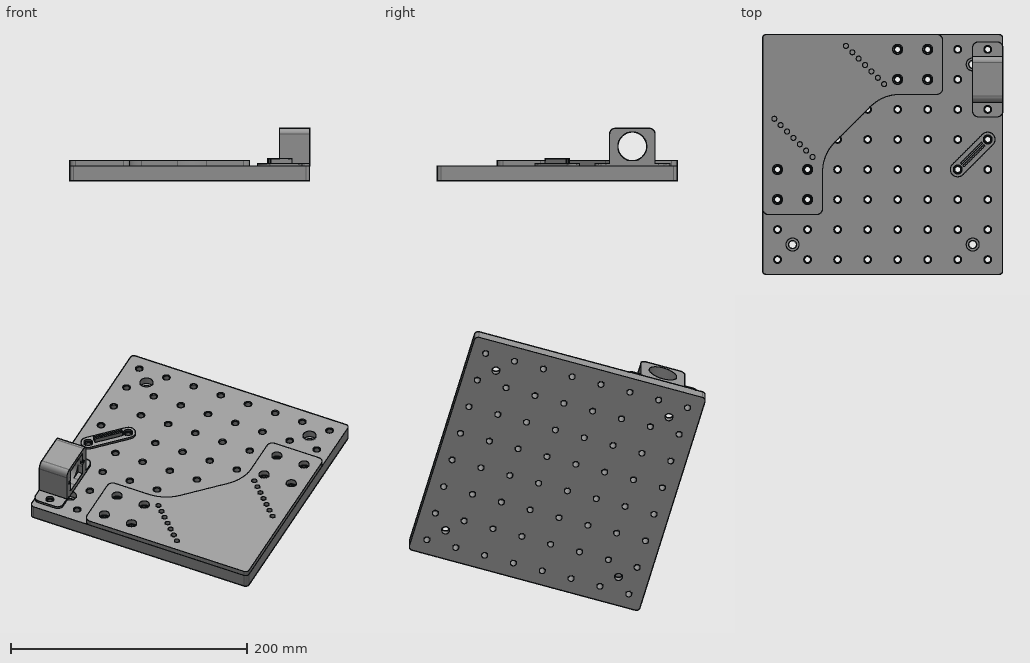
import cadquery as cq
import math

plate_side = 203.3
plate_thickness = 12.6
plate_corner_radius = 3.3
grid_count = 8
pitch = plate_side / grid_count
first_hole = pitch / 2
grid_hole_diameter = 5.0
countersink_diameter = 6.5
countersink_angle = 90
mount_hole_diameter = 6.5
counterbore_diameter = 11.0
counterbore_depth = 6.5

cover_thickness = 4.7
cover_side = 6 * pitch
cover_arm_width = 2 * pitch
cover_corner_radius = 5.0
cover_bend_radius = 34.5
cover_hole_diameter = 8.5
pin_hole_diameter = 4.3
pin_holes_per_row = 7
pin_row_run = 32.4
low_pin_row_start = (10.0, 131.9)
high_pin_row_start = (70.6, 193.5)

sheet_thickness = 2.0

strip_width = 12.5
strip_hole_diameter = 7.5
rail_length = 25.0
rail_width = 1.5
rail_gap = 1.5
rail_height = 4.0
strip_angle = 45

overall_height = 44.5
overall_length = 203.5
foot_length = 63.5
foot_corner_radius = 5.0
foot_hole_diameter = 6.5
block_length = 38.7
block_edge_radius = 5.0
bore_diameter = 24.2
bore_height = 29.0
pocket_side = 23.2
pocket_depth = 4.0
side_hole_diameter = 2.0
side_hole_offset = 14.5
side_hole_depth = 4.0
side_groove_depth = 2.0



def grid_point(column, row):
    """Centre of a grid hole, counted from 0 at the lower left."""
    return (first_hole + column * pitch, first_hole + row * pitch)


def make_plate():
    plate = cq.Workplane("XY").rect(plate_side, plate_side).extrude(plate_thickness)
    plate = plate.edges("|Z").fillet(plate_corner_radius)
    plate = plate.translate((plate_side / 2, plate_side / 2, 0))
    grid = [grid_point(column, row) for column in range(grid_count) for row in range(grid_count)]
    mounts = [(x, y) for x in (pitch, plate_side - pitch) for y in (pitch, plate_side - pitch)]
    top = cq.Workplane("XY", origin=(0, 0, plate_thickness))
    plate = (
        plate.copyWorkplane(top)
        .pushPoints(grid)
        .cskHole(grid_hole_diameter, countersink_diameter, countersink_angle)
    )
    return (
        plate.copyWorkplane(top)
        .pushPoints(mounts)
        .cboreHole(mount_hole_diameter, counterbore_diameter, counterbore_depth)
    )


def rounded_cover():
    """Cover with its bends, free tips and shared plate corner rounded."""
    top_left = (0, plate_side)
    bottom = plate_side - cover_side
    inner_y = plate_side - cover_arm_width
    bends = [(cover_arm_width, inner_y - cover_arm_width), (2 * cover_arm_width, inner_y)]
    tips = [(0, bottom), (cover_arm_width, bottom), (cover_side, inner_y), (cover_side, plate_side)]
    cover = (
        cq.Workplane("XY", origin=(0, 0, plate_thickness))
        .polyline([tips[0], tips[1], bends[0], bends[1], tips[2], tips[3], top_left])
        .close()
        .extrude(cover_thickness)
    )
    middle = plate_thickness + cover_thickness / 2
    for points, radius in (
        (bends, cover_bend_radius),
        (tips, cover_corner_radius),
        ([top_left], plate_corner_radius),
    ):
        for x, y in points:
            nearest = cq.selectors.NearestToPointSelector((x, y, middle))
            cover = cover.edges("|Z").edges(nearest).fillet(radius)
    return cover


def make_cover():
    low_arm = [grid_point(column, row) for column in (0, 1) for row in (2, 3)]
    high_arm = [grid_point(column, row) for column in (4, 5) for row in (6, 7)]
    step = pin_row_run / (pin_holes_per_row - 1)
    pins = [
        (x + i * step, y - i * step)
        for x, y in (low_pin_row_start, high_pin_row_start)
        for i in range(pin_holes_per_row)
    ]
    top = cq.Workplane("XY", origin=(0, 0, plate_thickness + cover_thickness))
    cover = rounded_cover().copyWorkplane(top).pushPoints(low_arm + high_arm).hole(cover_hole_diameter)
    return cover.copyWorkplane(top).pushPoints(pins).hole(pin_hole_diameter)


def make_strip():
    hole_spacing = math.hypot(pitch, pitch)
    start_x, start_y = grid_point(6, 3)
    strip = cq.Workplane("XY").slot2D(hole_spacing + strip_width, strip_width).extrude(sheet_thickness)
    strip = (
        strip.faces(">Z")
        .workplane()
        .pushPoints([(-hole_spacing / 2, 0), (hole_spacing / 2, 0)])
        .hole(strip_hole_diameter)
    )
    rail_offset = (rail_gap + rail_width) / 2
    rails = (
        cq.Workplane("XY")
        .pushPoints([(0, -rail_offset), (0, rail_offset)])
        .rect(rail_length, rail_width)
        .extrude(sheet_thickness + rail_height)
    )
    strip = strip.union(rails).rotate((0, 0, 0), (0, 0, 1), strip_angle)
    return strip.translate((start_x + pitch / 2, start_y + pitch / 2, plate_thickness))


def make_bracket():
    centre_x, lower_y = grid_point(7, 5)
    centre_y = lower_y + pitch
    bracket_width = 2 * (overall_length - centre_x)
    front_x = centre_x - bracket_width / 2
    foot = (
        cq.Workplane("XY", origin=(centre_x, centre_y, plate_thickness))
        .rect(bracket_width, foot_length)
        .extrude(sheet_thickness)
        .edges("|Z")
        .fillet(foot_corner_radius)
    )
    block = (
        cq.Workplane("XY", origin=(centre_x, centre_y, plate_thickness))
        .rect(bracket_width, block_length)
        .extrude(overall_height - plate_thickness)
        .edges("|X and >Z")
        .fillet(block_edge_radius)
    )
    bracket = foot.union(block)
    foot_top = cq.Workplane("XY", origin=(centre_x, centre_y, plate_thickness + sheet_thickness))
    bracket = (
        bracket.copyWorkplane(foot_top)
        .pushPoints([(0, -pitch), (0, pitch)])
        .hole(foot_hole_diameter, sheet_thickness)
    )
    front = cq.Workplane("YZ", origin=(front_x, centre_y, bore_height))
    bore = front.circle(bore_diameter / 2).extrude(bracket_width)
    pocket = front.rect(pocket_side, pocket_side).extrude(pocket_depth)
    holes = (
        front.pushPoints([(-side_hole_offset, 0), (side_hole_offset, 0)])
        .circle(side_hole_diameter / 2)
        .extrude(side_hole_depth)
    )
    groove = front.rect(2 * side_hole_offset, side_hole_diameter).extrude(side_groove_depth)
    return bracket.cut(bore).cut(pocket).cut(holes).cut(groove)


plate = make_plate()
cover = make_cover()
strip = make_strip()
bracket = make_bracket()
result = cq.Compound.makeCompound([plate.val(), cover.val(), strip.val(), bracket.val()])